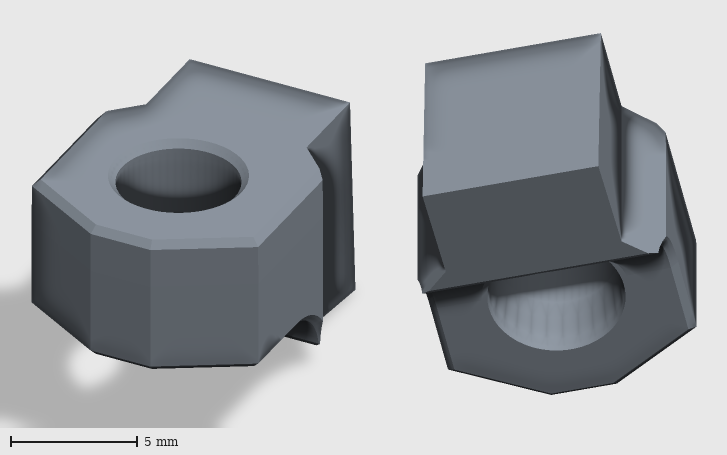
import cadquery as cq
import math

body_width = 10.08
neck_width = 7.13
total_length = 13.5
total_height = 9.0
front_y = -5.06
front_flat_width = 2.66
front_corner_angle = 30.0
shoulder_y = 2.7
body_thickness = 6.02
edge_chamfer = 0.3
draft_depth = 2.0
draft_angle = 0.5
hole_diameter = 5.0
flare_top_z = -3.24
flare_angle = 5.0
clearance_diameter = 5.94
arc_start_y = 0.45
arc_radius = 2.5
back_angle = 3.0
heel_chamfer_y = 2.88
heel_chamfer_z = -8.07
heel_chamfer_size = 0.42

half_body = body_width / 2
half_neck = neck_width / 2
half_flat = front_flat_width / 2
back_y = front_y + total_length
back_top_y = back_y - total_height * math.tan(math.radians(back_angle))
front_corner_y = front_y + (half_body - half_flat) * math.tan(math.radians(front_corner_angle))
neck_y = shoulder_y + half_body - half_neck
relief_wall_y = arc_start_y + arc_radius
overcut = 1.35


def mirrored_outline(right_side):
    """Closed outline at the bottom level from its right-hand points, listed front to back."""
    left_side = [(-x, y) for x, y in reversed(right_side)]
    return cq.Workplane("XY").workplane(offset=-total_height).polyline(right_side + left_side).close()


def side_profile(points):
    """Prism across the full width from (Y, Z) points."""
    return cq.Workplane("YZ").polyline(points).close().extrude(body_width, both=True)


def body_block():
    """Full-height block with the angled front and a slight draft near the top."""
    outline = mirrored_outline([
        (half_flat, front_y),
        (half_body, front_corner_y),
        (half_body, back_y + overcut),
    ])
    straight = outline.extrude(total_height - draft_depth)
    drafted = straight.faces(">Z").wires().toPending().extrude(draft_depth, taper=draft_angle)
    return drafted.faces(">Z").edges("not >Y").chamfer(edge_chamfer)


def underside_relief():
    """Space below the body, ending in a concave quarter arc in front of the heel."""
    arc_end_z = -body_thickness - arc_radius
    diagonal = arc_radius * math.sqrt(0.5)
    arc_middle = (arc_start_y + diagonal, arc_end_z + diagonal)
    return (
        cq.Workplane("YZ")
        .moveTo(front_y - overcut, -body_thickness)
        .lineTo(arc_start_y, -body_thickness)
        .threePointArc(arc_middle, (relief_wall_y, arc_end_z))
        .lineTo(relief_wall_y, -total_height - overcut)
        .lineTo(front_y - overcut, -total_height - overcut)
        .close()
        .extrude(body_width, both=True)
    )


def neck_plan():
    """Plan limit that narrows the back of the part through 45 degree shoulders."""
    return mirrored_outline([
        (half_body, front_y),
        (half_body, shoulder_y),
        (half_neck, neck_y),
        (half_neck, back_y),
    ]).extrude(total_height)


def heel_limit():
    """Side limit with the leaning back face, sloping underside and chamfered heel."""
    return side_profile([
        (front_y, 0),
        (back_top_y, 0),
        (back_y, -total_height),
        (heel_chamfer_y + heel_chamfer_size, heel_chamfer_z - heel_chamfer_size),
        (heel_chamfer_y, heel_chamfer_z),
        (front_y, heel_chamfer_z),
    ])


body = body_block().cut(underside_relief())
underside = body.faces(cq.NearestToPointSelector((0, 0, -body_thickness)))
body = underside.edges("not >Y").chamfer(edge_chamfer)
body = body.intersect(neck_plan()).intersect(heel_limit())

hole_radius = hole_diameter / 2
clearance_radius = clearance_diameter / 2
flare_depth = body_thickness + flare_top_z
flare_radius = hole_radius + flare_depth * math.tan(math.radians(flare_angle))
hole_section = [
    (0, 0),
    (hole_radius + edge_chamfer, 0),
    (hole_radius, -edge_chamfer),
    (hole_radius, flare_top_z),
    (flare_radius, -body_thickness),
    (clearance_radius, -body_thickness),
    (clearance_radius, -total_height),
    (0, -total_height),
]
hole = cq.Workplane("XZ").polyline(hole_section).close().revolve(360, (0, 0), (0, 1))
result = body.cut(hole)